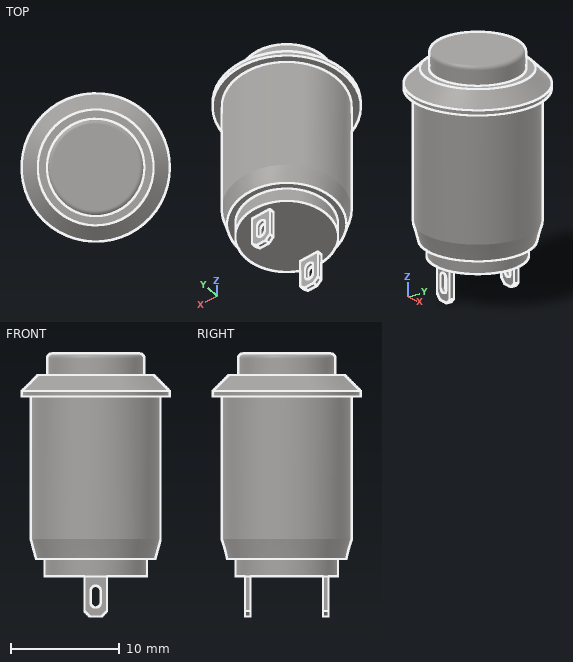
import cadquery as cq

total_height = 24.3
terminal_length = 3.72
base_height = 1.58
taper_height = 1.82
rim_height = 0.5
bevel_height = 1.5
button_height = 2.0

base_diameter = 9.5
taper_end_diameter = 11.0
body_diameter = 12.0
flange_diameter = 13.7
button_diameter = 9.0
button_fillet = 0.49

terminal_width = 2.1
terminal_thickness = 0.5
terminal_spacing = 7.2
terminal_chamfer = 0.5
slot_width = 0.9
slot_length = 2.0
slot_center_height = 1.85

base_bottom = terminal_length
taper_bottom = base_bottom + base_height
body_bottom = taper_bottom + taper_height
button_bottom = total_height - button_height
bevel_bottom = button_bottom - bevel_height
rim_bottom = bevel_bottom - rim_height


def make_housing():
    """Revolved base, tapered body and flange with a 45 degree bevel."""
    flange_radius = flange_diameter / 2
    profile = [
        (0, base_bottom),
        (base_diameter / 2, base_bottom),
        (base_diameter / 2, taper_bottom),
        (taper_end_diameter / 2, taper_bottom),
        (body_diameter / 2, body_bottom),
        (body_diameter / 2, rim_bottom),
        (flange_radius, rim_bottom),
        (flange_radius, bevel_bottom),
        (flange_radius - bevel_height, button_bottom),
        (0, button_bottom),
    ]
    return cq.Workplane("XZ").polyline(profile).close().revolve(360, (0, 0), (0, 1))


def make_button():
    """Round push button with a rounded top edge."""
    button = cq.Workplane("XY").workplane(offset=button_bottom)
    button = button.circle(button_diameter / 2).extrude(button_height)
    return button.faces(">Z").edges().fillet(button_fillet)


def make_terminal(y_center):
    """Upright slotted plate, with its lower corners cut off."""
    plate = cq.Workplane("XY").box(
        terminal_width, terminal_thickness, terminal_length, centered=(True, True, False)
    )
    plate = plate.edges("|Y and <Z").chamfer(terminal_chamfer)
    slot = (
        cq.Workplane("XZ")
        .center(0, slot_center_height)
        .slot2D(slot_length, slot_width, 90)
        .extrude(terminal_thickness, both=True)
    )
    return plate.cut(slot).translate((0, y_center, 0))


result = make_housing().union(make_button())
for side in (-1, 1):
    result = result.union(make_terminal(side * terminal_spacing / 2))